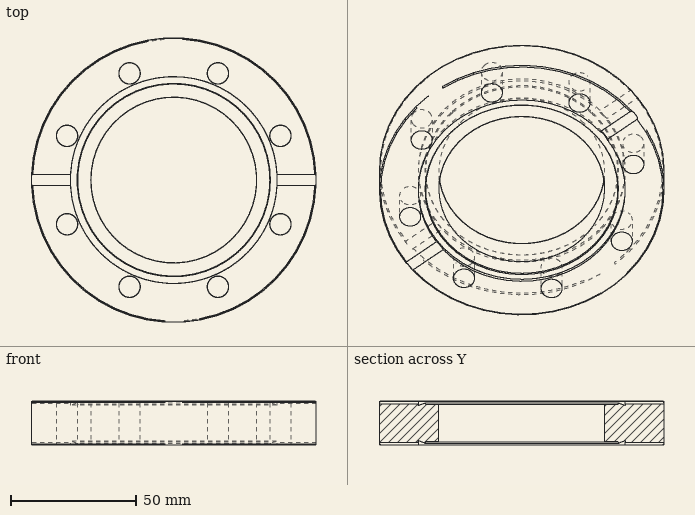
import math

import cadquery as cq

FLANGE_DIAMETER = 113.5
THICKNESS = 17.5
BORE_DIAMETER = 66.0
EDGE_FILLET = 0.5

RECESS_DIAMETER = 82.5
KNIFE_TIP_DIAMETER = 77.1
KNIFE_TIP_DEPTH = 0.65
KNIFE_SLOPE_DEG = 20.0
INNER_FLOOR_DIAMETER = 76.6
INNER_FLOOR_DEPTH = 1.25

BOLT_COUNT = 8
BOLT_HOLE_DIAMETER = 8.4
BOLT_CIRCLE_DIAMETER = 92.1

GROOVE_RADIUS = 3.0
GROOVE_DEPTH = 1.0

HALF_THICKNESS = THICKNESS / 2
FLANGE_RADIUS = FLANGE_DIAMETER / 2
RECESS_RADIUS = RECESS_DIAMETER / 2
KNIFE_TIP_RADIUS = KNIFE_TIP_DIAMETER / 2
INNER_FLOOR_RADIUS = INNER_FLOOR_DIAMETER / 2
KNIFE_RISE = (RECESS_RADIUS - KNIFE_TIP_RADIUS) * math.tan(math.radians(KNIFE_SLOPE_DEG))
RECESS_DEPTH = KNIFE_TIP_DEPTH + KNIFE_RISE


def make_ring():
    """Plain ring centred on the origin, with rounded outer edges."""
    disc = cq.Workplane("XY").cylinder(THICKNESS, FLANGE_RADIUS)
    disc = disc.edges("%CIRCLE").fillet(EDGE_FILLET)
    return disc.faces(">Z").workplane().hole(BORE_DIAMETER)


def make_seal_cutter():
    """Revolved recess that leaves the knife edge standing in the top face."""
    return (
        cq.Workplane("XZ")
        .moveTo(0, HALF_THICKNESS)
        .lineTo(RECESS_RADIUS, HALF_THICKNESS)
        .lineTo(RECESS_RADIUS, HALF_THICKNESS - RECESS_DEPTH)
        .lineTo(KNIFE_TIP_RADIUS, HALF_THICKNESS - KNIFE_TIP_DEPTH)
        .lineTo(INNER_FLOOR_RADIUS, HALF_THICKNESS - INNER_FLOOR_DEPTH)
        .lineTo(0, HALF_THICKNESS - INNER_FLOOR_DEPTH)
        .close()
        .revolve(360, (0, 0), (0, 1))
    )


def make_groove_cutter():
    """Round bar across the top face, cleared inside the recess to spare the knife edge."""
    bar_height = HALF_THICKNESS - GROOVE_DEPTH + GROOVE_RADIUS
    bar_start = (-FLANGE_RADIUS, 0, bar_height)
    bar = cq.Workplane("YZ", origin=bar_start).circle(GROOVE_RADIUS).extrude(FLANGE_DIAMETER)
    recess_zone = cq.Workplane("XY").circle(RECESS_RADIUS).extrude(THICKNESS)
    return bar.cut(recess_zone)


def make_bolt_holes():
    """Through holes on the bolt circle, straddling the X and Y axes."""
    first_angle = 360 / BOLT_COUNT / 2
    return (
        cq.Workplane("XY", origin=(0, 0, -HALF_THICKNESS))
        .polarArray(BOLT_CIRCLE_DIAMETER / 2, first_angle, 360, BOLT_COUNT)
        .circle(BOLT_HOLE_DIAMETER / 2)
        .extrude(THICKNESS)
    )


result = make_ring().cut(make_bolt_holes())
for top_cutter in (make_seal_cutter(), make_groove_cutter()):
    bottom_cutter = top_cutter.mirror("XY")
    result = result.cut(top_cutter).cut(bottom_cutter)